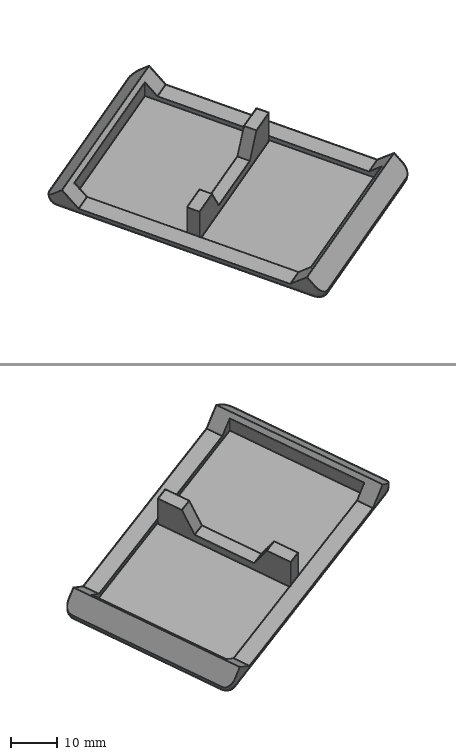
import cadquery as cq

length = 67.0
width = 42.0
base_height = 3.1
corner_radius = 2.0
bottom_radius = 3.0

ridge_top = 7.0
ridge_half_width = 4.0

pocket_end_margin = 5.0
pocket_side_margin = 4.0
floor_height = 1.8

rib_thickness = 3.0
rib_length = 33.5
rib_top = 10.5
rib_saddle_height = 4.1
rib_end_length = 6.0
rib_slope_run = 3.2


def make_base():
    """Rounded plate with its lower edge filleted."""
    plate = cq.Workplane("XY").rect(length, width).extrude(base_height)
    return plate.edges("|Z").fillet(corner_radius).faces("<Z").edges().fillet(bottom_radius)


def make_ridges():
    """Triangular ridges along both short ends, trimmed to the plate's rounded corners."""
    ridges = cq.Workplane("XZ")
    for side in (-1, 1):
        outer_x = side * length / 2
        peak_x = side * (length / 2 - ridge_half_width)
        inner_x = side * (length / 2 - 2 * ridge_half_width)
        ridges = ridges.polyline(
            [(outer_x, base_height), (peak_x, ridge_top), (inner_x, base_height)]
        ).close()
    ridges = ridges.extrude(width / 2, both=True)
    outline = cq.Workplane("XY").rect(length, width).extrude(ridge_top)
    return ridges.intersect(outline.edges("|Z").fillet(corner_radius))


def make_pocket():
    """Vertical-walled pocket that also trims the inner ridge slopes."""
    return (
        cq.Workplane("XY")
        .workplane(offset=floor_height)
        .rect(length - 2 * pocket_end_margin, width - 2 * pocket_side_margin)
        .extrude(ridge_top)
    )


def make_rib():
    """Upright rib across the pocket floor with a sloped-sided saddle."""
    end_y = rib_length / 2
    shoulder_y = end_y - rib_end_length
    saddle_y = shoulder_y - rib_slope_run
    root_height = floor_height / 2
    profile = [
        (-end_y, root_height),
        (-end_y, rib_top),
        (-shoulder_y, rib_top),
        (-saddle_y, rib_saddle_height),
        (saddle_y, rib_saddle_height),
        (shoulder_y, rib_top),
        (end_y, rib_top),
        (end_y, root_height),
    ]
    return cq.Workplane("YZ").polyline(profile).close().extrude(rib_thickness / 2, both=True)


result = make_base().union(make_ridges()).cut(make_pocket()).union(make_rib())